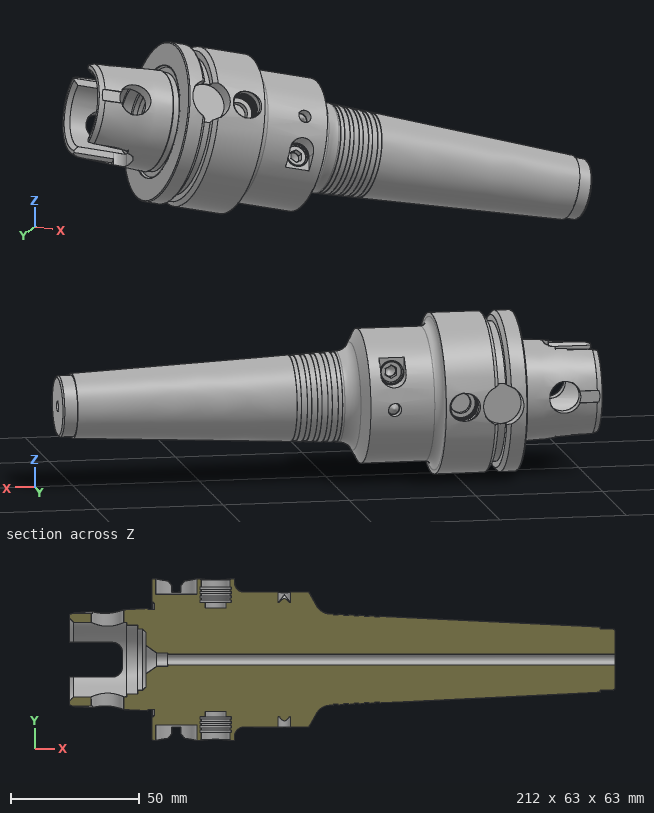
import cadquery as cq
import math

length = 212.0
nose_dia = 24.0
flange_dia = 63.0

shank_len = 32.0
shank_end_r = 17.5
shank_chamfer_len = 2.1
shank_start_r = 18.5
shank_big_r = 20.0
neck_start = 30.3
neck_r = 19.5
face_groove_r = 22.3
face_groove_depth = 1.0
face_groove_chamfer = 0.6

flange_chamfer = 0.5
grip_start = 38.4
grip_end = 44.7
grip_r = 27.3
grip_chamfer_len = 1.5
grip_chamfer_drop = 1.7
flange_end = 64.2

body_r = 26.3
body_fillet = 3.5
body_end = 93.0
shoulder_end = 96.0
shoulder_end_r = 21.0
neck_arc_end = 101.8

taper_r = 17.8
taper_end = 206.3
taper_end_r = 12.7
nose_r = nose_dia / 2
nose_chamfer = 0.6

ring_count = 5
ring_pitch = 4.0
ring_first = 102.6
ring_width = 1.7
ring_depth = 0.32

mouth_r = 16.1
mouth_chamfer = 1.7
bore_r = 14.5
bore_depth = 22.3
step_r = 13.4
step_depth = 26.5
seat_r = 11.9
seat_depth = 29.7
seat_chamfer = 1.3
inlet_dia = 11.0
inlet_throat_dia = 5.0
inlet_depth = 4.2
coolant_dia = 4.0

slot_width = 13.4
slot_depth = 20.5
slot_corner_r = 3.8
slot_edge_chamfer = 1.3
slot_edge_z = 15.5

cross_dia = 12.5
cross_x = 14.8
lead_width = 4.7
lead_y = 18.0

recess_dia = 16.0
recess_x = 41.5
recess_floor = 25.5
screw_hole_x = 56.8
screw_mouth_dia = 12.0
screw_hole_dia = 11.0
screw_hole_floor = 22.3
thread_count = 4
thread_pitch = 1.7
thread_width = 0.8
screw_tip_dia = 8.0
screw_tip_floor = 20.1

balance_x = 83.5
pin_hole_dia = 5.0
pin_hole_z = 1.0
pin_hole_floor = 22.3
pin_tip_dia = 4.7
pin_tip_height = 3.0
pocket_width = 10.0
pocket_z = 12.5
pocket_floor = 18.9
screw_seat_dia = 9.1
screw_seat_floor = 18.5
screw_ring_dia = 8.0
screw_ring_floor = 17.8
hex_sides = 6
hex_flats = 4.5
hex_floor = 15.3
hex_cone_depth = 1.7


def taper_radius(x):
    """Radius of the nose taper at a place along the axis."""
    share = (x - neck_arc_end) / (taper_end - neck_arc_end)
    return taper_r + share * (taper_end_r - taper_r)


def revolve(outline):
    """Revolve a closed outline, drawn as (x, radius), about the X axis."""
    return outline.revolve(360, (0, 0, 0), (1, 0, 0))


def outer_body():
    """Solid of revolution carrying the shank, flange, body and nose."""
    flange_r = flange_dia / 2
    fillet_mid = body_fillet * (1 - math.sqrt(0.5))
    outline = (
        cq.Workplane("XY")
        .moveTo(0, 0)
        .lineTo(0, shank_end_r)
        .lineTo(shank_chamfer_len, shank_start_r)
        .lineTo(neck_start, shank_big_r)
        .lineTo(neck_start + shank_big_r - neck_r, neck_r)
        .lineTo(shank_len + face_groove_depth, neck_r)
        .lineTo(shank_len + face_groove_depth, face_groove_r - face_groove_chamfer)
        .lineTo(shank_len + face_groove_depth - face_groove_chamfer, face_groove_r)
        .lineTo(shank_len, face_groove_r)
        .lineTo(shank_len, flange_r - flange_chamfer)
        .lineTo(shank_len + flange_chamfer, flange_r)
        .lineTo(grip_start, flange_r)
        .lineTo(grip_start + grip_chamfer_len, flange_r - grip_chamfer_drop)
        .lineTo(grip_start + grip_chamfer_len, grip_r)
        .lineTo(grip_end - grip_chamfer_len, grip_r)
        .lineTo(grip_end - grip_chamfer_len, flange_r - grip_chamfer_drop)
        .lineTo(grip_end, flange_r)
        .lineTo(flange_end, flange_r)
        .lineTo(flange_end, body_r + body_fillet)
        .threePointArc(
            (flange_end + fillet_mid, body_r + fillet_mid),
            (flange_end + body_fillet, body_r),
        )
        .lineTo(body_end, body_r)
        .lineTo(shoulder_end, shoulder_end_r)
        .tangentArcPoint((neck_arc_end, taper_r), relative=False)
        .lineTo(taper_end, taper_end_r)
        .lineTo(taper_end, nose_r)
        .lineTo(length - nose_chamfer, nose_r)
        .lineTo(length, nose_r - nose_chamfer)
        .lineTo(length, 0)
        .close()
    )
    return revolve(outline)


def ring_groove(start):
    """Shallow square groove around the nose taper."""
    end = start + ring_width
    bottom = taper_radius(end) - ring_depth
    corners = [(start, bottom), (start, body_r), (end, body_r), (end, bottom)]
    return revolve(cq.Workplane("XY").polyline(corners).close())


def shank_bore():
    """Stepped bore that narrows to a coolant channel through the whole part."""
    throat_r = inlet_throat_dia / 2
    coolant_r = coolant_dia / 2
    points = [
        (0, 0),
        (0, mouth_r),
        (mouth_chamfer, bore_r),
        (bore_depth, bore_r),
        (bore_depth, step_r),
        (step_depth, step_r),
        (step_depth, seat_r),
        (seat_depth - seat_chamfer, seat_r),
        (seat_depth, seat_r - seat_chamfer),
        (seat_depth, inlet_dia / 2),
        (seat_depth + inlet_depth, throat_r),
        (seat_depth + 2 * inlet_depth, throat_r),
        (seat_depth + 2 * inlet_depth, coolant_r),
        (length, coolant_r),
        (length, 0),
    ]
    return revolve(cq.Workplane("XY").polyline(points).close())


def drive_slots():
    """Slot through both walls, with its straight outer edges bevelled up to the round corners."""
    slots = (
        cq.Workplane("XY")
        .box(2 * slot_depth, slot_width, flange_dia)
        .edges("|Z and >X")
        .fillet(slot_corner_r)
    )
    half = slot_width / 2
    wide_half = half + slot_edge_chamfer
    for side in (1, -1):
        rim_z = side * flange_dia / 2
        bevel = (
            cq.Workplane("YZ")
            .polyline([
                (-half, side * slot_edge_z),
                (-wide_half, side * (slot_edge_z + slot_edge_chamfer)),
                (-wide_half, rim_z),
                (wide_half, rim_z),
                (wide_half, side * (slot_edge_z + slot_edge_chamfer)),
                (half, side * slot_edge_z),
            ])
            .close()
            .extrude(slot_depth - slot_corner_r)
        )
        slots = slots.union(bevel)
    return slots


def side_cylinder(x, z, radius, floor):
    """Cylinder along Y from depth `floor` out past the rim on the -Y side."""
    return (
        cq.Workplane("XZ", origin=(x, -floor, z))
        .circle(radius)
        .extrude(flange_dia - floor)
    )


def lead_flat():
    """Flat-bottomed lead-in from the shank end to the cross hole."""
    strip = cq.Workplane("XY").box(cross_x, flange_dia, lead_width, centered=(False, False, True))
    return strip.translate((0, -lead_y - flange_dia, 0))


def screw_hole():
    """Hole with a chamfered mouth, thread-like ring grooves and a smaller step at the bottom."""
    mouth_floor = flange_dia / 2 - (screw_mouth_dia - screw_hole_dia) / 2
    hole = side_cylinder(screw_hole_x, 0, screw_hole_dia / 2, screw_hole_floor)
    mouth = (
        cq.Workplane("XZ", origin=(screw_hole_x, -mouth_floor, 0))
        .circle(screw_hole_dia / 2)
        .workplane(offset=flange_dia / 2 - mouth_floor)
        .circle(screw_mouth_dia / 2)
        .loft()
    )
    tip = side_cylinder(screw_hole_x, 0, screw_tip_dia / 2, screw_tip_floor)
    hole = hole.union(mouth).union(tip)
    for index in range(thread_count):
        floor = screw_hole_floor + index * thread_pitch
        groove = cq.Workplane("XZ", origin=(screw_hole_x, -floor, 0)).circle(screw_mouth_dia / 2)
        hole = hole.union(groove.extrude(thread_width))
    return hole


def cone_along_y(x, z, radius, base_y, tip_y):
    """Cone along Y with its base circle at base_y and its point at tip_y."""
    height = tip_y - base_y
    direction = cq.Vector(0, math.copysign(1, height), 0)
    return cq.Workplane(cq.Solid.makeCone(radius, 0, abs(height), cq.Vector(x, base_y, z), direction))


def pin_hole():
    """Small hole with the point of a pin standing on its floor."""
    hole = side_cylinder(balance_x, pin_hole_z, pin_hole_dia / 2, pin_hole_floor)
    tip_y = -pin_hole_floor - pin_tip_height
    return hole.cut(cone_along_y(balance_x, pin_hole_z, pin_tip_dia / 2, -pin_hole_floor, tip_y))


def balance_pocket():
    """Round pocket running out through the body below it, with a screw in its floor."""
    rim = flange_dia / 2
    open_side = cq.Workplane("XY").box(pocket_width, rim, rim, centered=(True, False, False))
    pocket = open_side.translate((balance_x, -pocket_floor - rim, -pocket_z - rim))
    rounds = (
        (pocket_width, pocket_floor),
        (screw_seat_dia, screw_seat_floor),
        (screw_ring_dia, screw_ring_floor),
    )
    for diameter, floor in rounds:
        pocket = pocket.union(side_cylinder(balance_x, -pocket_z, diameter / 2, floor))
    socket = (
        cq.Workplane("XZ", origin=(balance_x, -hex_floor, -pocket_z))
        .polygon(hex_sides, hex_flats, circumscribed=True)
        .extrude(pocket_floor - hex_floor)
    )
    cone = cone_along_y(balance_x, -pocket_z, hex_flats / 2, -hex_floor, -hex_floor + hex_cone_depth)
    return pocket.union(socket).union(cone)


def side_features():
    """Everything cut from the -Y side."""
    recess = side_cylinder(recess_x, 0, recess_dia / 2, recess_floor)
    cuts = recess.union(screw_hole()).union(pin_hole())
    return cuts.union(balance_pocket()).union(lead_flat())


def cross_hole():
    """Round hole through both walls of the shank."""
    circle = cq.Workplane("XZ", origin=(cross_x, 0, 0)).circle(cross_dia / 2)
    return circle.extrude(flange_dia, both=True)


result = outer_body()
for index in range(ring_count):
    result = result.cut(ring_groove(ring_first + index * ring_pitch))
result = result.cut(shank_bore()).cut(drive_slots()).cut(cross_hole())

near_side = side_features()
far_side = near_side.rotate((0, 0, 0), (1, 0, 0), 180)
result = result.cut(near_side).cut(far_side)